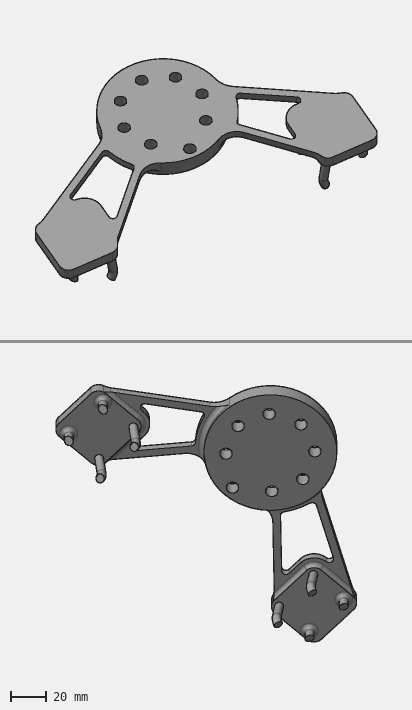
import cadquery as cq
import math

disc_depth = 10.6
pad_depth = 7.5
arm_depth = 4.9

disc_radius = 37.5
hole_diameter = 7.0
hole_circle_radius = 25.0
outer_hole_x = 31.2
hole_count = 8

pad_right = 75.5
pad_width = 38.3
pad_length = 36.7
pad_corner = 6.0
pad_left = pad_right - pad_width
pad_centre_x = pad_right - pad_width / 2

upper_arm = {"reach": 98.7, "rim_angle": 42.5}
lower_arm = {"reach": 105.2, "rim_angle": 45.0}
arm_wall = 4.5
window_margin = 4.9
window_corner = 2.5

outer_rim_blend = 14.3
plan_blend = 12.2
disc_fillet = 3.0
pad_fillet = 2.5

peg_diameter = 5.0
peg_radius = peg_diameter / 2
peg_x = (42.2, 70.3)
short_peg_inset = 8.5
short_peg_end_z = -16.0
short_peg_end_tilt = 26.0
flare_radius = 2.5
hook_inset = 31.8
hook_bend_z = -22.5
hook_lean = 2.2
hook_end_shift = 1.2
hook_end_z = -29.5


def on_both_sides(make):
    """The +Y item joined with its -Y counterpart."""
    return make(upper_arm).union(make(lower_arm).mirror("XZ"))


def disc_block(radius, depth):
    return cq.Workplane("XY").circle(radius).extrude(-depth)


def pad_block(arm, depth, margin=0.0):
    """Rounded pad outline, grown by a margin, extruded down from the top face."""
    return (
        cq.Workplane("XY")
        .center(pad_centre_x, arm["reach"] - pad_length / 2)
        .rect(pad_width + 2 * margin, pad_length + 2 * margin)
        .extrude(-depth)
        .edges("|Z")
        .fillet(pad_corner + margin)
    )


def arm_corners(arm):
    """Corners of the arm: on the rim, twice on the pad outline, and on the rim again."""
    angle = math.radians(arm["rim_angle"])
    return [
        (0, disc_radius),
        (pad_left, arm["reach"] - pad_corner),
        (pad_right - pad_corner, arm["reach"] - pad_length),
        (disc_radius * math.cos(angle), disc_radius * math.sin(angle)),
    ]


def arm_blank(arm):
    """Sharp-cornered arm and its pad, as a plate of full disc depth."""
    wedge = cq.Workplane("XY").polyline([(0, 0)] + arm_corners(arm)).close().extrude(-disc_depth)
    return wedge.union(pad_block(arm, disc_depth))


def plan_block():
    """Outline of the whole part with blended corners, as a plate of full disc depth."""
    plan = disc_block(disc_radius, disc_depth).union(on_both_sides(arm_blank))
    blends = (outer_rim_blend, plan_blend, plan_blend, plan_blend)
    for side, arm in ((1, upper_arm), (-1, lower_arm)):
        for (x, y), blend in zip(arm_corners(arm), blends):
            corner_edge = cq.selectors.NearestToPointSelector((x, side * y, -disc_depth / 2))
            plan = plan.edges("|Z").edges(corner_edge).fillet(blend)
    return plan


def stepped_plate():
    """Oversized arm-depth plate with disc and pads standing below it, root edges filleted."""
    size = 4 * lower_arm["reach"]
    plate = (
        cq.Workplane("XY")
        .rect(size, size)
        .extrude(-arm_depth)
        .union(disc_block(disc_radius, disc_depth))
        .union(on_both_sides(lambda arm: pad_block(arm, pad_depth)))
    )
    roots = (
        (0, 0, disc_fillet),
        (pad_centre_x, upper_arm["reach"], pad_fillet),
        (pad_centre_x, -lower_arm["reach"], pad_fillet),
    )
    for x, y, radius in roots:
        root_edge = cq.selectors.NearestToPointSelector((x, y, -arm_depth))
        plate = plate.edges(root_edge).fillet(radius)
    return plate


def window(arm):
    """Opening between the arm edges, kept clear of the disc and the pad."""
    opening = (
        cq.Workplane("XY")
        .polyline(arm_corners(arm))
        .close()
        .offset2D(-arm_wall, "intersection")
        .extrude(-pad_depth)
        .cut(disc_block(disc_radius + window_margin, pad_depth))
        .cut(pad_block(arm, pad_depth, window_margin))
    )
    return opening.edges("|Z").edges("<X or >X or <Y or >Y").fillet(window_corner)


def disc_holes():
    """Ring of through holes, with the +X one moved outwards."""
    points = [(outer_hole_x, 0)]
    for i in range(1, hole_count):
        angle = 2 * math.pi * i / hole_count
        points.append((hole_circle_radius * math.cos(angle), hole_circle_radius * math.sin(angle)))
    return cq.Workplane("XY").pushPoints(points).circle(hole_diameter / 2).extrude(-disc_depth)


def short_peg(x, arm):
    """Straight peg with a flared root and an obliquely cut end."""
    y = arm["reach"] - short_peg_inset
    rise = peg_radius * math.tan(math.radians(short_peg_end_tilt))
    oblique_bar = (
        cq.Workplane("YZ", origin=(x - peg_radius, 0, 0))
        .moveTo(y - peg_radius, -arm_depth)
        .lineTo(y + peg_radius, -arm_depth)
        .lineTo(y + peg_radius, short_peg_end_z + rise)
        .lineTo(y - peg_radius, short_peg_end_z - rise)
        .close()
        .extrude(2 * peg_radius)
    )
    rod = cq.Workplane("XY").center(x, y).circle(peg_radius).extrude(short_peg_end_z - rise)
    flare_foot = peg_radius + flare_radius
    flare = (
        cq.Workplane("XZ", origin=(x, y, 0))
        .moveTo(0, -arm_depth)
        .lineTo(flare_foot, -arm_depth)
        .lineTo(flare_foot, -pad_depth)
        .radiusArc((peg_radius, -pad_depth - flare_radius), -flare_radius)
        .lineTo(0, -pad_depth - flare_radius)
        .close()
        .revolve(360, (0, 0), (0, 1))
    )
    return oblique_bar.intersect(rod).union(flare)


def hook_peg(x, arm):
    """Long peg that leans towards the disc, then bends back at its end."""
    y = arm["reach"] - hook_inset
    bend_y = y - hook_lean
    path = (
        cq.Workplane("YZ", origin=(x, 0, 0))
        .moveTo(y, -arm_depth)
        .lineTo(bend_y, hook_bend_z)
        .tangentArcPoint((bend_y + hook_end_shift, hook_end_z), relative=False)
    )
    return cq.Workplane("XY", origin=(x, y, -arm_depth)).circle(peg_radius).sweep(path)


def pegs(arm):
    """The two short pegs and two hooks of one pad."""
    group = cq.Workplane("XY")
    for x in peg_x:
        group = group.union(short_peg(x, arm)).union(hook_peg(x, arm))
    return group


result = (
    stepped_plate()
    .intersect(plan_block())
    .cut(on_both_sides(window))
    .cut(disc_holes())
    .union(on_both_sides(pegs))
)